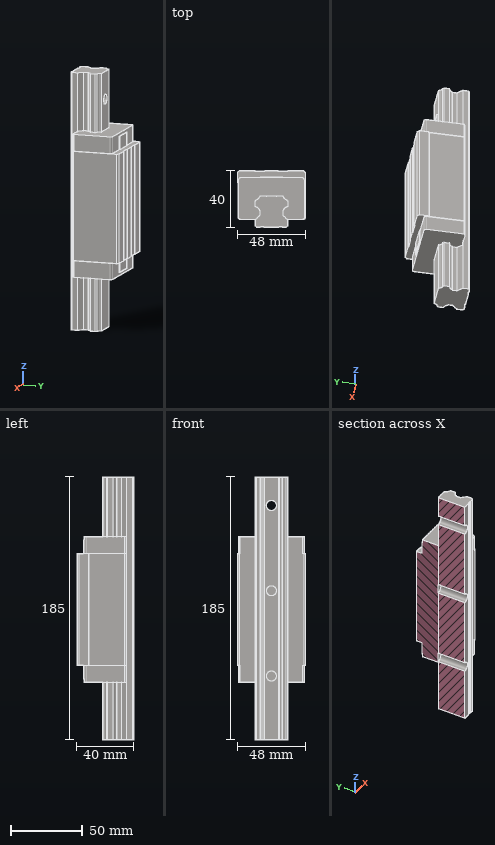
import cadquery as cq


RAIL_LENGTH = 185.0
RAIL_HEIGHT = 22.0
RAIL_HALF_WIDTH = 11.5
SHOULDER_Y = 5.20
NECK_HALF_WIDTH = 8.0
NECK_BOTTOM_Y = SHOULDER_Y + RAIL_HALF_WIDTH - NECK_HALF_WIDTH
NECK_TOP_Y = 11.8
HEAD_BOTTOM_Y = 14.8
HEAD_TOP_Y = 18.5
CROWN_HALF_WIDTH = 8.1
RACEWAY_RADIUS = 3.0
BEVEL_LONG = 0.9
BEVEL_SHORT = 0.5
FOOT_CHAMFER = 1.1

GROOVE_OUTER_X = 7.9
GROOVE_INNER_X = 4.9
GROOVE_OUTER_SLOPE = 0.4
GROOVE_INNER_SLOPE = 0.9
GROOVE_DEPTH = 0.4

HOLE_DIAMETER = 7.0
HOLE_COUNT = 3
HOLE_PITCH = 60.0
FIRST_HOLE_Z = 45.0

TOP_Y = 40.0
CARRIAGE_BOTTOM_Y = 5.5
CARRIAGE_CENTER_Z = 91.8
BLOCK_LENGTH = 78.6
BLOCK_HALF_WIDTH = 24.0
BLOCK_TOP_CHAMFER = 1.4
BOTTOM_CHAMFER = 1.1
RELIEF_DEPTH = 0.5
RELIEF_TOP_Y = 31.9
RELIEF_BOTTOM_Y = 31.4
TOP_GROOVE_CENTER_X = 8.1
TOP_GROOVE_WIDTH = 7.0
TOP_GROOVE_DEPTH = 0.4

CARRIAGE_LENGTH = 102.6
CAP_HALF_WIDTH = 23.1
CAP_TOP_Y = 35.0
CAP_TOP_RADIUS = 1.5
PAD_WIDTH = 15.6
PAD_HEIGHT = 0.5
PAD_INSET = 2.4


def rail_prism():
    """Rail section, symmetric about X = 0, over the full rail length."""
    right_half = (
        cq.Workplane("XY")
        .moveTo(0, 0)
        .lineTo(GROOVE_INNER_X, 0)
        .lineTo(GROOVE_INNER_X + GROOVE_INNER_SLOPE, GROOVE_DEPTH)
        .lineTo(GROOVE_OUTER_X - GROOVE_OUTER_SLOPE, GROOVE_DEPTH)
        .lineTo(GROOVE_OUTER_X, 0)
        .lineTo(RAIL_HALF_WIDTH - FOOT_CHAMFER, 0)
        .lineTo(RAIL_HALF_WIDTH, FOOT_CHAMFER)
        .lineTo(RAIL_HALF_WIDTH, SHOULDER_Y)
        .lineTo(NECK_HALF_WIDTH, NECK_BOTTOM_Y)
        .lineTo(NECK_HALF_WIDTH, NECK_TOP_Y)
        .lineTo(NECK_HALF_WIDTH + BEVEL_SHORT, NECK_TOP_Y + BEVEL_SHORT)
        .radiusArc((RAIL_HALF_WIDTH - BEVEL_LONG, HEAD_BOTTOM_Y - BEVEL_SHORT), RACEWAY_RADIUS)
        .lineTo(RAIL_HALF_WIDTH, HEAD_BOTTOM_Y)
        .lineTo(RAIL_HALF_WIDTH, HEAD_TOP_Y)
        .lineTo(RAIL_HALF_WIDTH - BEVEL_LONG, HEAD_TOP_Y + BEVEL_LONG)
        .radiusArc((CROWN_HALF_WIDTH + BEVEL_SHORT, RAIL_HEIGHT - BEVEL_LONG), RACEWAY_RADIUS)
        .lineTo(CROWN_HALF_WIDTH, RAIL_HEIGHT)
        .lineTo(0, RAIL_HEIGHT)
        .close()
        .extrude(RAIL_LENGTH)
    )
    return right_half.union(right_half.mirror("YZ")).clean()


def mounting_holes():
    """Through holes along Y, spaced evenly up the rail."""
    holes = cq.Workplane("XY")
    for index in range(HOLE_COUNT):
        hole = cq.Workplane("XZ").circle(HOLE_DIAMETER / 2).extrude(-RAIL_HEIGHT)
        holes = holes.add(hole.translate((0, 0, FIRST_HOLE_Z + index * HOLE_PITCH)))
    return holes.combine()


def carriage_block():
    """Steel block between the end caps."""
    relieved_x = RELIEF_DEPTH - BLOCK_HALF_WIDTH
    block = (
        cq.Workplane("XY")
        .moveTo(relieved_x + BOTTOM_CHAMFER, CARRIAGE_BOTTOM_Y)
        .lineTo(BLOCK_HALF_WIDTH - BOTTOM_CHAMFER, CARRIAGE_BOTTOM_Y)
        .lineTo(BLOCK_HALF_WIDTH, CARRIAGE_BOTTOM_Y + BOTTOM_CHAMFER)
        .lineTo(BLOCK_HALF_WIDTH, TOP_Y - BLOCK_TOP_CHAMFER)
        .lineTo(BLOCK_HALF_WIDTH - BLOCK_TOP_CHAMFER, TOP_Y)
        .lineTo(BLOCK_TOP_CHAMFER - BLOCK_HALF_WIDTH, TOP_Y)
        .lineTo(-BLOCK_HALF_WIDTH, TOP_Y - BLOCK_TOP_CHAMFER)
        .lineTo(-BLOCK_HALF_WIDTH, RELIEF_TOP_Y)
        .lineTo(relieved_x, RELIEF_BOTTOM_Y)
        .lineTo(relieved_x, CARRIAGE_BOTTOM_Y + BOTTOM_CHAMFER)
        .close()
        .extrude(BLOCK_LENGTH / 2, both=True)
    )
    grooves = (
        cq.Workplane("XY")
        .pushPoints([(-TOP_GROOVE_CENTER_X, TOP_Y), (TOP_GROOVE_CENTER_X, TOP_Y)])
        .rect(TOP_GROOVE_WIDTH, 2 * TOP_GROOVE_DEPTH)
        .extrude(BLOCK_LENGTH / 2, both=True)
    )
    return block.cut(grooves)


def end_caps():
    """Both end caps as one bar running through the block, with their raised pads."""
    cap_height = CAP_TOP_Y - CARRIAGE_BOTTOM_Y
    caps = (
        cq.Workplane("XY")
        .center(0, CARRIAGE_BOTTOM_Y + cap_height / 2)
        .rect(2 * CAP_HALF_WIDTH, cap_height)
        .extrude(CARRIAGE_LENGTH / 2, both=True)
        .edges("|Z and >Y").fillet(CAP_TOP_RADIUS)
        .edges("|Z and <Y").chamfer(BOTTOM_CHAMFER)
    )
    pads = (
        cq.Workplane("XY")
        .center(0, CAP_TOP_Y)
        .rect(PAD_WIDTH, 2 * PAD_HEIGHT)
        .extrude(CARRIAGE_LENGTH / 2 - PAD_INSET, both=True)
    )
    return caps.union(pads)


rail_blank = rail_prism()
rail = rail_blank.cut(mounting_holes())
carriage = carriage_block().union(end_caps()).translate((0, 0, CARRIAGE_CENTER_Z)).cut(rail_blank)

result = cq.Compound.makeCompound([rail.val(), carriage.val()])